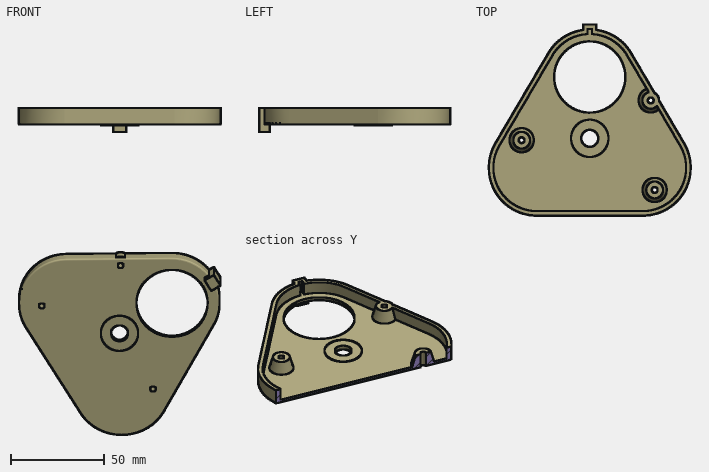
import cadquery as cq
import math

RIM_HEIGHT = 9.0
FLOOR_THICKNESS = 2.0
WALL_THICKNESS = 2.5
BOTTOM_FILLET = 0.9

OUTER_WIDTH = 108.12
FRONT_EDGE_Y = -41.4
FRONT_EDGE_HALF_LENGTH = 29.45
SIDE_START = (50.6, -2.8)
SIDE_END = (22.6, 44.8)
CORNER_MID = (OUTER_WIDTH / 2, -15.9)
REAR_ARC_Y = 58.3

LARGE_HOLE_DIAMETER = 38.0
LARGE_HOLE_Y = 32.8
HUB_HOLE_DIAMETER = 9.0
HUB_RING_DIAMETER = 20.0
HUB_RING_RAISE = 0.3

FREE_BOSS_CENTERS = [(-36.4, -1.0), (34.7, -27.6)]
WALL_BOSS_CENTER = (32.6, 20.3)
BOSS_TOP_DIAMETER = 9.0
BOSS_BASE_DIAMETER = 13.0
BOSS_HOLE_DIAMETER = 3.0

OUTER_LENGTH = 102.38
TAB_WIDTH = 7.0
TAB_REAR_Y = FRONT_EDGE_Y + OUTER_LENGTH
TAB_INNER_Y = REAR_ARC_Y - WALL_THICKNESS / 2
FOOT_LENGTH = 5.8
FOOT_DEPTH = 4.0
GROOVE_WIDTH = 2.3
GROOVE_REAR_WALL = 2.5


def mirrored(point):
    """Reflect an XY point across the symmetry plane X = 0."""
    return (-point[0], point[1])


def outline(z):
    """Closed tray outline on a horizontal plane at height z."""
    front_right = (FRONT_EDGE_HALF_LENGTH, FRONT_EDGE_Y)
    return (
        cq.Workplane("XY", origin=(0, 0, z))
        .moveTo(*mirrored(front_right))
        .lineTo(*front_right)
        .threePointArc(CORNER_MID, SIDE_START)
        .lineTo(*SIDE_END)
        .threePointArc((0, REAR_ARC_Y), mirrored(SIDE_END))
        .lineTo(*mirrored(SIDE_START))
        .threePointArc(mirrored(CORNER_MID), mirrored(front_right))
        .close()
    )


def cylinder(center, diameter, bottom, top):
    """Vertical cylinder between two heights."""
    return (
        cq.Workplane("XY", origin=(center[0], center[1], bottom))
        .circle(diameter / 2)
        .extrude(top - bottom)
    )


def block(width, y_min, y_max, bottom, top):
    """Box centred on X = 0."""
    return (
        cq.Workplane("XY")
        .box(width, y_max - y_min, top - bottom, centered=(True, False, False))
        .translate((0, y_min, bottom))
    )


def make_tray():
    """Open tray with a rounded bottom edge."""
    body = outline(0).extrude(RIM_HEIGHT).faces("<Z").edges().fillet(BOTTOM_FILLET)
    cavity = outline(FLOOR_THICKNESS).offset2D(-WALL_THICKNESS).extrude(RIM_HEIGHT)
    return body.cut(cavity)


def make_boss(center):
    """Cone tapering from the floor up to the rim height."""
    height = RIM_HEIGHT - FLOOR_THICKNESS
    taper = math.degrees(math.atan((BOSS_BASE_DIAMETER - BOSS_TOP_DIAMETER) / 2 / height))
    return (
        cq.Workplane("XY", origin=(center[0], center[1], FLOOR_THICKNESS))
        .circle(BOSS_BASE_DIAMETER / 2)
        .extrude(height, taper=taper)
    )


def make_wall_boss():
    """Cone trimmed at the outer wall, with a straight round bulge outside it."""
    cone = make_boss(WALL_BOSS_CENTER).intersect(outline(0).extrude(RIM_HEIGHT))
    bulge = cylinder(WALL_BOSS_CENTER, BOSS_TOP_DIAMETER, FLOOR_THICKNESS, RIM_HEIGHT)
    return cone.union(bulge)


def make_tab():
    """Rear tab with a foot reaching below the tray."""
    upper = block(TAB_WIDTH, TAB_INNER_Y, TAB_REAR_Y, 0, RIM_HEIGHT)
    foot = block(TAB_WIDTH, TAB_REAR_Y - FOOT_LENGTH, TAB_REAR_Y, -FOOT_DEPTH, FLOOR_THICKNESS)
    return upper.union(foot)


body = make_tray()
for boss_center in FREE_BOSS_CENTERS:
    body = body.union(make_boss(boss_center))
body = body.union(make_wall_boss())
body = body.union(make_tab())
body = body.union(
    cylinder((0, 0), HUB_RING_DIAMETER, -HUB_RING_RAISE, FLOOR_THICKNESS + HUB_RING_RAISE)
)

through_holes = [((0, 0), HUB_HOLE_DIAMETER), ((0, LARGE_HOLE_Y), LARGE_HOLE_DIAMETER)]
for boss_center in FREE_BOSS_CENTERS + [WALL_BOSS_CENTER]:
    through_holes.append((boss_center, BOSS_HOLE_DIAMETER))
for hole_center, hole_diameter in through_holes:
    body = body.cut(cylinder(hole_center, hole_diameter, -FOOT_DEPTH, RIM_HEIGHT))

groove_start_y = REAR_ARC_Y - 2 * WALL_THICKNESS
groove_end_y = TAB_REAR_Y - GROOVE_REAR_WALL
body = body.cut(block(GROOVE_WIDTH, groove_start_y, groove_end_y, FLOOR_THICKNESS, RIM_HEIGHT))

result = body